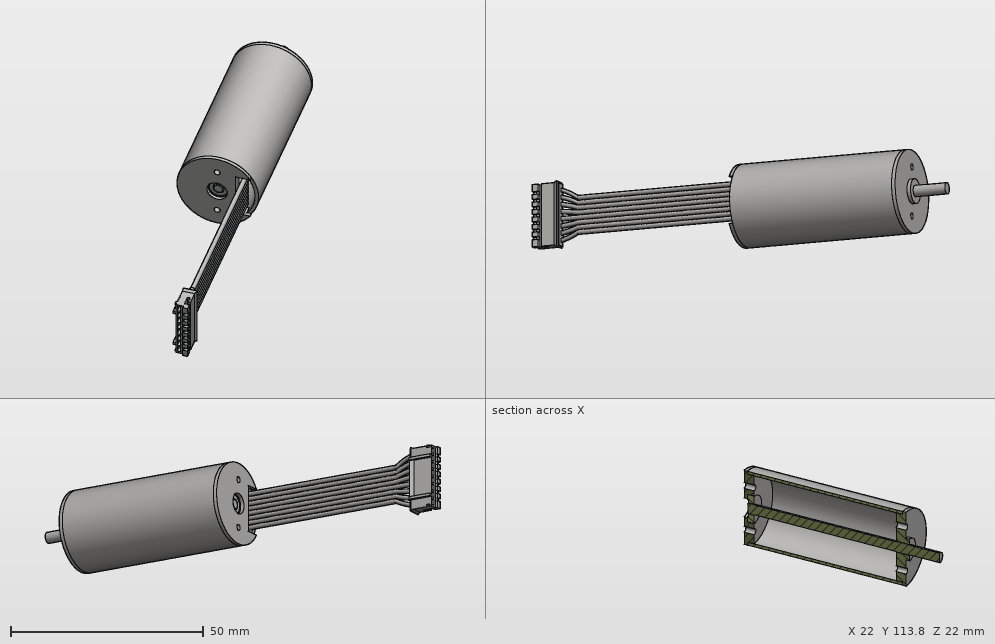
import cadquery as cq


motor_diameter = 22.0
housing_bore = 20.0
motor_length = 48.0
cap_flange = 1.0
cap_plug = 2.0
cap_inset = cap_flange + cap_plug
boss_diameter = 6.5
boss_height = 1.0
screw_hole_diameter = 1.6
screw_hole_offset = 6.5
rear_y = -motor_length

shaft_diameter = 3.0
shaft_projection = 10.0
bearing_diameter = 8.0
bearing_window = 5.5
shield_diameter = 5.04
shield_depth = 0.2
shaft_end_chamfer = 0.3
shaft_end_y = rear_y + cap_flange

wire_count = 8
wire_diameter = 1.3
wire_pitch = 1.305
cable_x = 7.0
web_thickness = 0.3
cable_start_y = rear_y + cap_inset
fan_start_y = rear_y - 43.7
fan_bulge = 0.12
straight_limit = 1e-6
cable_slot_x = 5.0
cable_slot_width = 12.5

pole_pitch = 2.0
connector_z = (pole_pitch - wire_pitch) / 2
connector_tip_y = -103.77
body_end_y = -103.1
flange_back_y = -96.7
flange_taper_end_y = -97.55
collar_back_y = -96.35
collar_x = (6.3, 8.8)
body_x = (6.03, 9.4)
body_width = 16.6
flange_lip = 0.4
rail_x = 5.2
rail_width = 0.7
rail_span = 11.4
ramp_end_y = -97.85
ramp_top_x = 5.5
hook_x = 8.05
hook_lip_x = 8.75
hook_top_y = -99.5
hook_lip_end_y = -101.1
hook_end_y = -102.1
cavity_x = (6.4, 7.3)
cavity_width = 1.5
cavity_depth = 4.0
comb_gap = 0.8
comb_gap_x = 8.35
lock_bump_x = 5.65
lock_bump_y = (-101.6, -102.0, -102.6)
lock_bump_width = 0.5


def box(x, y, z):
    """Box between the two limits given for each axis, in any order."""
    size = [abs(a - b) for a, b in (x, y, z)]
    center = [(a + b) / 2 for a, b in (x, y, z)]
    return cq.Workplane("XY").box(*size).translate(tuple(center))


def rod(diameter, y_low, y_high):
    """Cylinder on the motor axis."""
    return cq.Workplane("XZ", origin=(0, y_high, 0)).circle(diameter / 2).extrude(y_high - y_low)


def span(center, width):
    return (center - width / 2, center + width / 2)


def row(count, pitch, center=0.0):
    """Evenly spaced Z positions, from the lowest up."""
    return [center + (i - (count - 1) / 2) * pitch for i in range(count)]


def screw_holes():
    return (
        cq.Workplane("XZ", origin=(0, boss_height, 0))
        .pushPoints([(0, screw_hole_offset), (0, -screw_hole_offset)])
        .circle(screw_hole_diameter / 2)
        .extrude(motor_length + 2 * boss_height)
    )


def make_housing():
    y = (rear_y + cap_flange, -cap_flange)
    return rod(motor_diameter, *y).cut(rod(housing_bore, *y))


def make_front_cap():
    cap = rod(motor_diameter, -cap_flange, 0)
    cap = cap.union(rod(housing_bore, -cap_inset, 0))
    cap = cap.union(rod(boss_diameter, -cap_flange, boss_height))
    return cap.cut(rod(shaft_diameter, -cap_inset, boss_height)).cut(screw_holes())


def make_rear_cap():
    inner_y = rear_y + cap_inset
    cap = rod(motor_diameter, rear_y, rear_y + cap_flange)
    cap = cap.union(rod(housing_bore, rear_y, inner_y))
    cap = cap.cut(rod(bearing_window, rear_y, inner_y))
    cap = cap.cut(rod(bearing_diameter, rear_y + cap_flange, inner_y))
    cable_slot = box((cable_slot_x, motor_diameter), (rear_y, inner_y), span(0, cable_slot_width))
    return cap.cut(cable_slot).cut(screw_holes())


def make_bearing():
    y = (rear_y + cap_flange, rear_y + cap_inset)
    bearing = rod(bearing_diameter, *y).cut(rod(shaft_diameter, *y))
    shield_recess = rod(shield_diameter, y[0], y[0] + shield_depth)
    return bearing.cut(shield_recess)


def make_shaft():
    return rod(shaft_diameter, shaft_end_y, shaft_projection).faces("<Y").chamfer(shaft_end_chamfer)


def fanned_wire(cable_z, pole_z):
    """Wire between the flat cable and its pole, bent in one arc and trimmed at the connector."""
    shift = pole_z - cable_z
    start = cq.Workplane("XZ", origin=(cable_x, fan_start_y, cable_z)).circle(wire_diameter / 2)
    if abs(shift) < straight_limit:
        return start.extrude(fan_start_y - collar_back_y)
    path_end_y = collar_back_y - wire_diameter
    middle_y = (fan_start_y + path_end_y) / 2
    middle_z = (cable_z + pole_z) / 2 + fan_bulge * shift
    path = (
        cq.Workplane("YZ", origin=(cable_x, 0, 0))
        .moveTo(fan_start_y, cable_z)
        .threePointArc((middle_y, middle_z), (path_end_y, pole_z))
    )
    beyond = box(span(cable_x, motor_diameter), (collar_back_y, connector_tip_y), span(0, motor_diameter))
    return start.sweep(path).cut(beyond)


def make_cable():
    web_width = wire_pitch * (wire_count - 1)
    cable = box(span(cable_x, web_thickness), (fan_start_y, cable_start_y), span(0, web_width))
    wire_rows = row(wire_count, wire_pitch)
    pole_rows = row(wire_count, pole_pitch, connector_z)
    for cable_z, pole_z in zip(wire_rows, pole_rows):
        straight = rod(wire_diameter, fan_start_y, cable_start_y).translate((cable_x, 0, cable_z))
        cable = cable.union(straight.union(fanned_wire(cable_z, pole_z)))
    return cable


def connector_flange():
    """Lip around the wire end, tapering down to the body on the +X, +Z and -Z sides."""
    body_depth = body_x[1] - body_x[0]
    center = ((sum(body_x) + flange_lip) / 2, flange_back_y, connector_z)
    return (
        cq.Workplane("XZ", origin=center)
        .rect(body_depth + flange_lip, body_width + 2 * flange_lip)
        .workplane(offset=flange_back_y - flange_taper_end_y)
        .center(-flange_lip / 2, 0)
        .rect(body_depth, body_width)
        .loft(ruled=True)
    )


def connector_panel():
    """Side rails and the ramp between them on the -X face."""
    y = (flange_back_y, body_end_y)
    rail_center = (rail_span - rail_width) / 2
    ramp = (
        cq.Workplane("XY", origin=(0, 0, connector_z))
        .polyline(
            [
                (body_x[0], flange_back_y),
                (ramp_top_x, flange_back_y),
                (body_x[0], ramp_end_y),
            ]
        )
        .close()
        .extrude(rail_center, both=True)
    )
    for side in (-1, 1):
        ramp = ramp.union(box((rail_x, body_x[0]), y, span(connector_z + side * rail_center, rail_width)))
    return ramp


def lock_bump(z_center):
    """Ramped bump on the -X face."""
    ramp_start_y, crest_y, bump_end_y = lock_bump_y
    return (
        cq.Workplane("XY", origin=(0, 0, z_center))
        .moveTo(body_x[0], ramp_start_y)
        .lineTo(lock_bump_x, crest_y)
        .lineTo(lock_bump_x, bump_end_y)
        .lineTo(body_x[0], bump_end_y)
        .close()
        .extrude(lock_bump_width / 2, both=True)
    )


def make_connector():
    width = span(connector_z, body_width)
    body = box(body_x, (flange_back_y, body_end_y), width)
    body = body.union(box((hook_x, body_x[1]), (flange_back_y, connector_tip_y), width))
    body = body.union(box(collar_x, (flange_back_y, collar_back_y), width))
    body = body.union(connector_flange()).union(connector_panel())
    for side in (-1, 1):
        body = body.union(lock_bump(connector_z + side * (body_width - lock_bump_width) / 2))
    body = body.cut(box((hook_x, hook_lip_x), (hook_top_y, hook_end_y), width))
    body = body.cut(box((hook_lip_x, body_x[1]), (hook_lip_end_y, hook_end_y), width))
    for z in row(wire_count, pole_pitch, connector_z):
        body = body.cut(box(cavity_x, (body_end_y, body_end_y + cavity_depth), span(z, cavity_width)))
    for z in row(wire_count - 1, pole_pitch, connector_z):
        body = body.cut(box((comb_gap_x, body_x[1]), (hook_end_y, connector_tip_y), span(z, comb_gap)))
    return body


housing = make_housing()
front_cap = make_front_cap()
rear_cap = make_rear_cap()
bearing = make_bearing()
shaft = make_shaft()
cable = make_cable()
connector = make_connector()

bodies = [housing, front_cap, rear_cap, bearing, shaft, cable, connector]
result = cq.Compound.makeCompound([body.solids().val() for body in bodies])